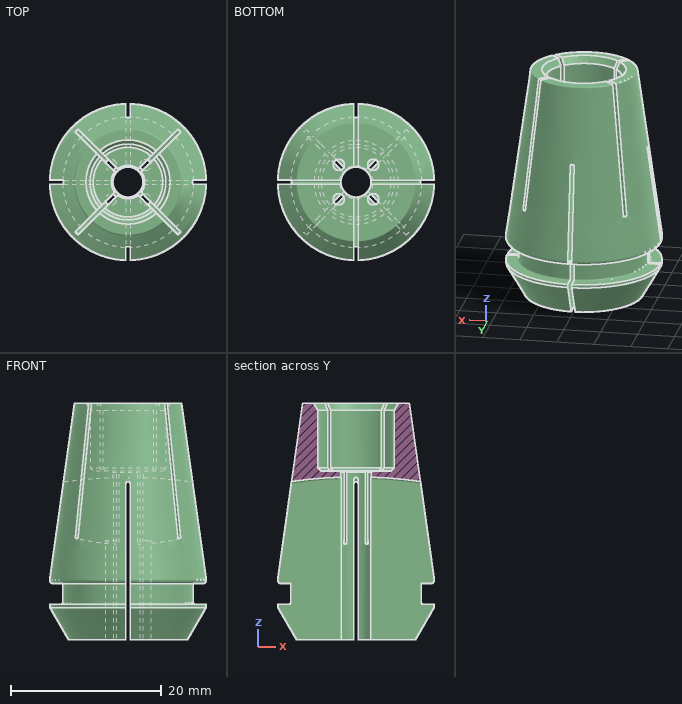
import cadquery as cq
import math

total_height = 31.5
taper_angle = 8.0
nose_angle = 30.0
body_max_radius = 10.44
flange_radius = 10.4
nose_cone_height = 4.3
flange_top = 4.75
groove_radius = 8.7
body_bottom = 7.48
body_edge_radius = 0.5
groove_fillet = 0.2
top_edge_radius = 0.2
nose_edge_radius = 0.1

clamp_bore_radius = 2.0
clamp_bore_chamfer = 0.22
relief_radius = 5.05
relief_floor = 22.5
relief_floor_chamfer = 0.42
relief_mouth_radius = 5.6
relief_mouth_angle = 30.0

slot_width = 0.54
saw_radius = 60.0
cuts_per_end = 2
nose_slot_top = 21.66
top_slot_bottom = 12.72
top_cut_start_angle = 45.0

coolant_hole_count = 4
coolant_hole_diameter = 1.5
coolant_hole_offset = 3.25


def make_body():
    taper = math.radians(taper_angle)
    edge_center_height = body_bottom + body_edge_radius
    edge_center_radius = body_max_radius - body_edge_radius
    taper_start_radius = edge_center_radius + body_edge_radius * math.cos(taper)
    taper_start_height = edge_center_height + body_edge_radius * math.sin(taper)
    arc_middle = (
        edge_center_radius + body_edge_radius * math.cos(math.pi / 4),
        edge_center_height - body_edge_radius * math.sin(math.pi / 4),
    )
    top_radius = taper_start_radius - (total_height - taper_start_height) * math.tan(taper)
    nose_radius = flange_radius - nose_cone_height * math.tan(math.radians(nose_angle))
    body = (
        cq.Workplane("XZ")
        .lineTo(nose_radius, 0)
        .lineTo(flange_radius, nose_cone_height)
        .lineTo(flange_radius, flange_top)
        .lineTo(groove_radius, flange_top)
        .lineTo(groove_radius, body_bottom)
        .lineTo(edge_center_radius, body_bottom)
        .threePointArc(arc_middle, (taper_start_radius, taper_start_height))
        .lineTo(top_radius, total_height)
        .lineTo(0, total_height)
        .close()
        .revolve(360, (0, 0, 0), (0, 1, 0))
    )
    body = body.faces(">Z").edges().fillet(top_edge_radius)
    body = body.faces("<Z").edges().fillet(nose_edge_radius)
    groove_corner = cq.selectors.BoxSelector(
        (-flange_radius, -flange_radius, flange_top - groove_fillet),
        (flange_radius, flange_radius, flange_top + groove_fillet),
    )
    return body.edges(groove_corner).edges(cq.selectors.RadiusNthSelector(0)).fillet(groove_fillet)


def make_bores():
    mouth_depth = (relief_mouth_radius - relief_radius) / math.tan(math.radians(relief_mouth_angle))
    clamp_mouth_radius = clamp_bore_radius + clamp_bore_chamfer
    return (
        cq.Workplane("XZ")
        .lineTo(clamp_bore_radius, 0)
        .lineTo(clamp_bore_radius, relief_floor - clamp_bore_chamfer)
        .lineTo(clamp_mouth_radius, relief_floor)
        .lineTo(relief_radius - relief_floor_chamfer, relief_floor)
        .lineTo(relief_radius, relief_floor + relief_floor_chamfer)
        .lineTo(relief_radius, total_height - mouth_depth)
        .lineTo(relief_mouth_radius, total_height)
        .lineTo(0, total_height)
        .close()
        .revolve(360, (0, 0, 0), (0, 1, 0))
    )


def make_saw_cut(rim_height, cut_direction, angle):
    """Thin disc with a half-round rim, standing in a plane through the Z axis.

    The rim crosses the axis at rim_height; the disc lies on the side of the rim
    given by cut_direction (1 for above, -1 for below).
    """
    center_height = rim_height + cut_direction * saw_radius
    half_width = slot_width / 2
    flat_radius = saw_radius - half_width
    return (
        cq.Workplane("XY")
        .moveTo(0, -half_width)
        .lineTo(flat_radius, -half_width)
        .threePointArc((saw_radius, 0), (flat_radius, half_width))
        .lineTo(0, half_width)
        .close()
        .revolve(360, (0, 0, 0), (0, 1, 0))
        .translate((0, 0, center_height))
        .rotate((0, 0, 0), (0, 0, 1), angle)
    )


def make_coolant_hole(angle):
    """Hole parallel to the axis, from the nose face up into a top slot."""
    return (
        cq.Workplane("XY")
        .center(coolant_hole_offset, 0)
        .circle(coolant_hole_diameter / 2)
        .extrude(top_slot_bottom + slot_width)
        .rotate((0, 0, 0), (0, 0, 1), angle)
    )


result = make_body().cut(make_bores())
for index in range(cuts_per_end):
    nose_cut_angle = index * 180 / cuts_per_end
    top_cut_angle = nose_cut_angle + top_cut_start_angle
    result = result.cut(make_saw_cut(nose_slot_top, -1, nose_cut_angle))
    result = result.cut(make_saw_cut(top_slot_bottom, 1, top_cut_angle))
for index in range(coolant_hole_count):
    hole_angle = top_cut_start_angle + index * 360 / coolant_hole_count
    result = result.cut(make_coolant_hole(hole_angle))